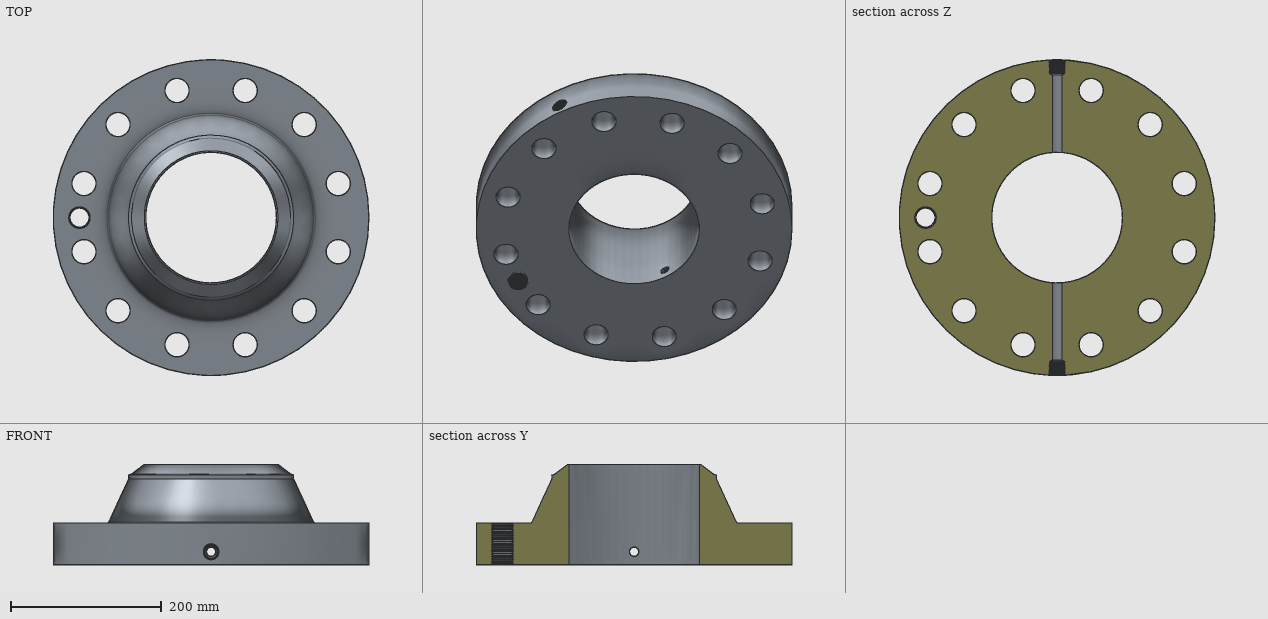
import cadquery as cq
import math

flange_diameter = 419.1
flange_thickness = 55.6
overall_height = 133.35

bore_diameter = 173.05
pipe_diameter = 219.1
hub_base_diameter = 273.0
hub_fillet_radius = 3.0
edge_search_margin = 1.0
cone_top_height = 114.0
land_height = 119.3
bevel_foot_diameter = 211.0
bevel_foot_height = 120.7
root_face_diameter = 177.5

bolt_count = 12
bolt_circle_diameter = 349.25
bolt_hole_diameter = 31.75

jack_major_diameter = 28.575
jack_minor_diameter = 25.1
jack_pitch = 25.4 / 8

tap_height = 17.4
tap_major_diameter = 21.3
tap_thread_depth = 1.4
tap_pitch = 25.4 / 14
tap_taper_per_side = 1 / 32
tap_thread_count = 11
tap_bore_diameter = 12.0
drill_half_angle = math.radians(59)


def make_body():
    """Flange plate, tapered hub and bevelled weld end as one turned profile."""
    body = (
        cq.Workplane("XZ")
        .moveTo(bore_diameter / 2, 0)
        .lineTo(flange_diameter / 2, 0)
        .lineTo(flange_diameter / 2, flange_thickness)
        .lineTo(hub_base_diameter / 2, flange_thickness)
        .lineTo(pipe_diameter / 2, cone_top_height)
        .lineTo(pipe_diameter / 2, land_height)
        .lineTo(bevel_foot_diameter / 2, bevel_foot_height)
        .lineTo(root_face_diameter / 2, overall_height)
        .lineTo(bore_diameter / 2, overall_height)
        .close()
        .revolve(360, (0, 0, 0), (0, 1, 0))
    )
    reach = hub_base_diameter / 2 + edge_search_margin
    low_corner = (-reach, -reach, flange_thickness - edge_search_margin)
    high_corner = (reach, reach, flange_thickness + edge_search_margin)
    hub_foot = cq.selectors.BoxSelector(low_corner, high_corner, boundingbox=True)
    return body.edges(hub_foot).fillet(hub_fillet_radius)


def make_bolt_holes():
    """Bolt holes straddling the X and Y axes."""
    return (
        cq.Workplane("XY")
        .polarArray(bolt_circle_diameter / 2, 180 / bolt_count, 360, bolt_count)
        .circle(bolt_hole_diameter / 2)
        .extrude(flange_thickness)
    )


def thread_points(major_radius, depth, pitch, count, taper=0):
    """Zigzag of (radius, distance) points with one groove and one ridge per pitch."""
    points = []
    for turn in range(count):
        groove = turn * pitch
        ridge = groove + pitch / 2
        points.append((major_radius - taper * groove, groove))
        points.append((major_radius - depth - taper * ridge, ridge))
    return points


def make_jack_screw_hole():
    """Through hole on the -X side of the bolt circle, with ring grooves for its thread."""
    major_radius = jack_major_diameter / 2
    depth = (jack_major_diameter - jack_minor_diameter) / 2
    count = math.ceil(flange_thickness / jack_pitch) + 1
    points = thread_points(major_radius, depth, jack_pitch, count)
    length = points[-1][1]
    cutter = (
        cq.Workplane("XZ")
        .polyline([(0, 0)] + points + [(0, length)])
        .close()
        .revolve(360, (0, 0, 0), (0, 1, 0))
    )
    return (
        cutter
        .rotate((0, 0, 0), (1, 0, 0), 180)
        .translate((-bolt_circle_diameter / 2, 0, flange_thickness))
    )


def make_pressure_tap():
    """Radial hole on the -Y side: tapered thread, drill cone, then a bore into the pipe."""
    points = thread_points(
        tap_major_diameter / 2, tap_thread_depth, tap_pitch, tap_thread_count, tap_taper_per_side
    )
    thread_end = points[-1][1]
    bore_radius = tap_bore_diameter / 2
    cone_length = (points[-1][0] - bore_radius) / math.tan(drill_half_angle)
    reach = flange_diameter / 2
    points += [(bore_radius, thread_end + cone_length), (bore_radius, reach)]
    cutter = (
        cq.Workplane("XY")
        .polyline([(0, 0)] + points + [(0, reach)])
        .close()
        .revolve(360, (0, 0, 0), (0, 1, 0))
    )
    return cutter.translate((0, -reach, tap_height))


pressure_tap = make_pressure_tap()
opposite_tap = pressure_tap.mirror("XZ")

result = (
    make_body()
    .cut(make_bolt_holes())
    .cut(make_jack_screw_hole())
    .cut(pressure_tap)
    .cut(opposite_tap)
)